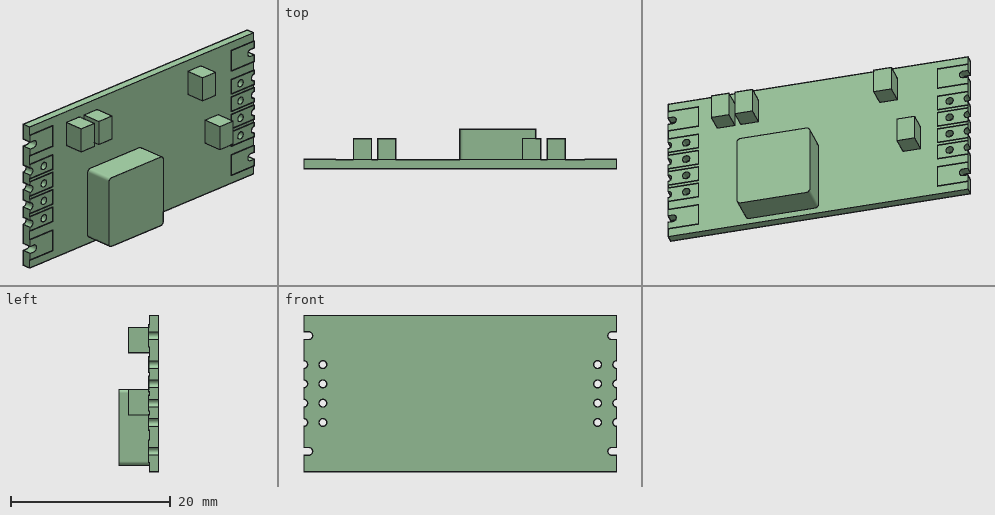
import cadquery as cq

BOARD_LENGTH = 39.24
BOARD_HEIGHT = 19.62
BOARD_THICKNESS = 1.15
TOTAL_DEPTH = 4.98

PAD_THICKNESS = 0.1
PAD_LENGTH = 4.0
PIN_PAD_HEIGHT = 2.0
CORNER_PAD_HEIGHT = 2.85
PIN_COUNT = 4
PIN_PITCH = 2.42
CORNER_PAD_Z = 7.25

HOLE_DIAMETER = 0.95
HOLE_INSET = 2.4
EDGE_NOTCH_DIAMETER = 0.95
SLOT_WIDTH = 0.95
SLOT_DEPTH = 1.1

CHIP_SIZE = 9.55
CHIP_CORNER_RADIUS = 0.5
CHIP_X = 4.7
CHIP_Z = -4.25

BLOCK_WIDTH = 2.3
BLOCK_HEIGHT = 3.2
BLOCK_TOP_Y = 3.8
UPPER_BLOCK_Z = 6.7
LOWER_BLOCK_Z = -1.1
BLOCK_CENTRES = [
    (-12.26, LOWER_BLOCK_Z),
    (-9.22, UPPER_BLOCK_Z),
    (8.95, UPPER_BLOCK_Z),
    (12.03, UPPER_BLOCK_Z),
]

PIN_HEIGHTS = [(i - (PIN_COUNT - 1) / 2) * PIN_PITCH for i in range(PIN_COUNT)]
CORNER_HEIGHTS = [-CORNER_PAD_Z, CORNER_PAD_Z]
SIDES = [-1, 1]


def box(x, z, length, height, y_start, y_end):
    """Block centred at (x, z) that reaches from y_start to y_end."""
    depth = y_end - y_start
    return cq.Workplane("XY").box(length, depth, height).translate((x, y_start + depth / 2, z))


def hole(x, z, diameter):
    """Round cutter along Y that passes through the board and its pads."""
    sketch = cq.Workplane("XZ", origin=(x, 0, z)).circle(diameter / 2)
    return sketch.extrude(-(BOARD_THICKNESS + PAD_THICKNESS))


def edge_slot(side, z):
    """Round-ended slot cutter that opens on a short edge."""
    edge_x = side * BOARD_LENGTH / 2
    straight = SLOT_DEPTH - SLOT_WIDTH / 2
    round_end = hole(edge_x - side * straight, z, SLOT_WIDTH)
    mouth = box(edge_x, z, 2 * straight, SLOT_WIDTH, 0, BOARD_THICKNESS + PAD_THICKNESS)
    return round_end.union(mouth)


def add_pad(body, side, z, height):
    """Solder pad flush with a short edge, rooted in the full board thickness."""
    x = side * (BOARD_LENGTH - PAD_LENGTH) / 2
    return body.union(box(x, z, PAD_LENGTH, height, 0, BOARD_THICKNESS + PAD_THICKNESS))


def make_board():
    board = box(0, 0, BOARD_LENGTH, BOARD_HEIGHT, 0, BOARD_THICKNESS)
    for side in SIDES:
        edge_x = side * BOARD_LENGTH / 2
        for z in PIN_HEIGHTS:
            board = add_pad(board, side, z, PIN_PAD_HEIGHT)
            board = board.cut(hole(edge_x - side * HOLE_INSET, z, HOLE_DIAMETER))
            board = board.cut(hole(edge_x, z, EDGE_NOTCH_DIAMETER))
        for z in CORNER_HEIGHTS:
            board = add_pad(board, side, z, CORNER_PAD_HEIGHT)
            board = board.cut(edge_slot(side, z))
    return board


def make_chip():
    chip = box(CHIP_X, CHIP_Z, CHIP_SIZE, CHIP_SIZE, BOARD_THICKNESS, TOTAL_DEPTH)
    return chip.edges("|Y").fillet(CHIP_CORNER_RADIUS)


result = make_board().union(make_chip())
for block_x, block_z in BLOCK_CENTRES:
    result = result.union(box(block_x, block_z, BLOCK_WIDTH, BLOCK_HEIGHT, BOARD_THICKNESS, BLOCK_TOP_Y))